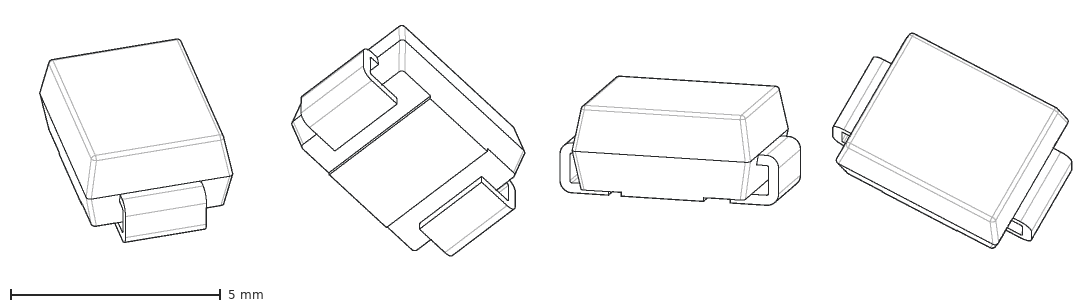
import cadquery as cq
import math

overall_length = 5.4
overall_height = 2.3

body_length = 4.4
body_width = 3.62
parting_z = 1.225
draft_angle = 10.0
edge_radius = 0.1

pad_length = 2.03
pad_z = 0.15

lead_width = 2.0
lead_thickness = 0.25
lead_foot_length = 1.2
lead_inner_radius = 0.05
lead_outer_radius = lead_inner_radius + lead_thickness
lead_embed = 0.11


def drafted_half(height):
    """Half of the body, narrowing away from the parting plane; negative height goes down."""
    inset = 2 * abs(height) * math.tan(math.radians(draft_angle))
    return (
        cq.Workplane("XY", origin=(0, 0, parting_z))
        .rect(body_length, body_width)
        .workplane(offset=height)
        .rect(body_length - inset, body_width - inset)
        .loft(ruled=True)
    )


def make_upper_body():
    half = drafted_half(overall_height - parting_z)
    return half.edges("(not #Z) or >Z").fillet(edge_radius)


def make_lower_body():
    """Lower half with its ends raised to the top of the lead feet, leaving the pad in the middle."""
    half = drafted_half(pad_z - parting_z).edges("not #Z").fillet(edge_radius)
    notch_length = (body_length - pad_length) / 2
    notches = (
        cq.Workplane("XY")
        .pushPoints([(side * (pad_length + notch_length) / 2, 0) for side in (-1, 1)])
        .rect(notch_length, body_width)
        .extrude(lead_thickness)
    )
    return half.cut(notches)


def make_left_lead():
    """C-shaped strip: upper arm into the body, outer wall, foot under the body."""
    outer_x = -overall_length / 2
    inner_x = outer_x + lead_thickness
    arm_end_x = -body_length / 2 + lead_embed
    foot_end_x = outer_x + lead_foot_length
    arm_bottom_z = parting_z - lead_thickness

    bend_x = outer_x + lead_outer_radius
    upper_bend_z = parting_z - lead_outer_radius
    lower_bend_z = lead_outer_radius
    outer_diagonal = lead_outer_radius * math.sqrt(0.5)
    inner_diagonal = lead_inner_radius * math.sqrt(0.5)

    return (
        cq.Workplane("XZ")
        .moveTo(arm_end_x, parting_z)
        .lineTo(bend_x, parting_z)
        .threePointArc((bend_x - outer_diagonal, upper_bend_z + outer_diagonal), (outer_x, upper_bend_z))
        .lineTo(outer_x, lower_bend_z)
        .threePointArc((bend_x - outer_diagonal, lower_bend_z - outer_diagonal), (bend_x, 0))
        .lineTo(foot_end_x, 0)
        .lineTo(foot_end_x, lead_thickness)
        .lineTo(bend_x, lead_thickness)
        .threePointArc((bend_x - inner_diagonal, lower_bend_z - inner_diagonal), (inner_x, lower_bend_z))
        .lineTo(inner_x, upper_bend_z)
        .threePointArc((bend_x - inner_diagonal, upper_bend_z + inner_diagonal), (bend_x, arm_bottom_z))
        .lineTo(arm_end_x, arm_bottom_z)
        .close()
        .extrude(lead_width / 2, both=True)
    )


left_lead = make_left_lead()
right_lead = left_lead.mirror("YZ")
result = make_upper_body().union(make_lower_body()).union(left_lead).union(right_lead)